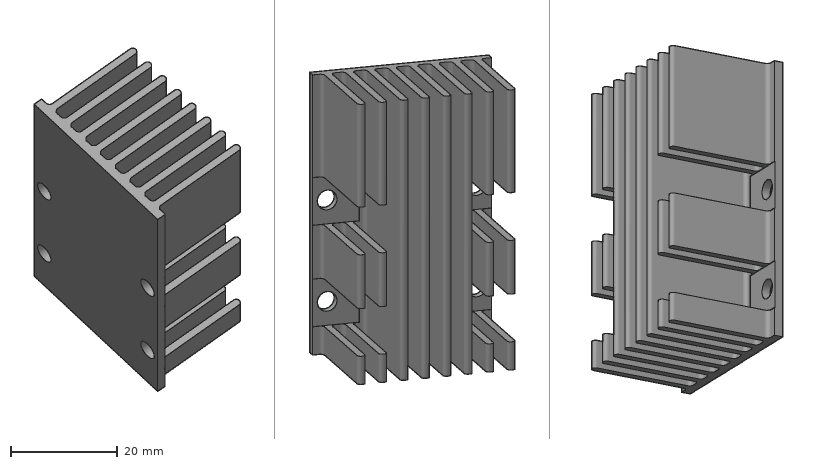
import cadquery as cq

base_width = 35.6
base_thickness = 1.9
height = 55.25
overall_depth = 22.9

fin_count = 8
fin_pitch = 4.25
fin_thickness = 1.55
tip_radius = 0.7
root_radius = 0.85

hole_diameter = 3.85
hole_spacing_x = 29.7
hole_spacing_z = 20.0
lower_hole_z = 10.3
clearance_height = 9.4
clearance_fin_count = 2
clearance_floor = 1.75

first_fin_x = -fin_pitch * (fin_count - 1) / 2
hole_heights = [lower_hole_z, lower_hole_z + hole_spacing_z]


def block(x_min, x_max, y_min, y_max, z_min, z_max):
    """Box given by its limits along each axis."""
    return cq.Workplane("XY").box(
        x_max - x_min, y_max - y_min, z_max - z_min, centered=False
    ).translate((x_min, y_min, z_min))


def make_fin_profile(center_x):
    """Fin section with rounded tip corners and concave root fillets."""
    half = fin_thickness / 2
    foot = half + root_radius
    root_y = base_thickness + root_radius
    shoulder_y = overall_depth - tip_radius
    tip_half = half - tip_radius
    return (
        cq.Workplane("XY")
        .center(center_x, 0)
        .moveTo(-foot, 0)
        .lineTo(-foot, base_thickness)
        .radiusArc((-half, root_y), -root_radius)
        .lineTo(-half, shoulder_y)
        .radiusArc((-tip_half, overall_depth), tip_radius)
        .lineTo(tip_half, overall_depth)
        .radiusArc((half, shoulder_y), tip_radius)
        .lineTo(half, root_y)
        .radiusArc((foot, base_thickness), -root_radius)
        .lineTo(foot, 0)
        .close()
    )


half_width = base_width / 2
result = block(-half_width, half_width, 0, base_thickness, 0, height)
for index in range(fin_count):
    fin = make_fin_profile(first_fin_x + index * fin_pitch).extrude(height)
    result = result.union(fin)

clearance_inner_x = -first_fin_x - (clearance_fin_count - 0.5) * fin_pitch
for hole_z in hole_heights:
    z_min = hole_z - clearance_height / 2
    z_max = hole_z + clearance_height / 2
    right_cut = block(
        clearance_inner_x, half_width, clearance_floor, overall_depth, z_min, z_max
    )
    result = result.cut(right_cut).cut(right_cut.mirror("YZ"))

hole_points = [(side * hole_spacing_x / 2, z) for side in (-1, 1) for z in hole_heights]
holes = (
    cq.Workplane("XZ")
    .pushPoints(hole_points)
    .circle(hole_diameter / 2)
    .extrude(-base_thickness)
)
result = result.cut(holes)